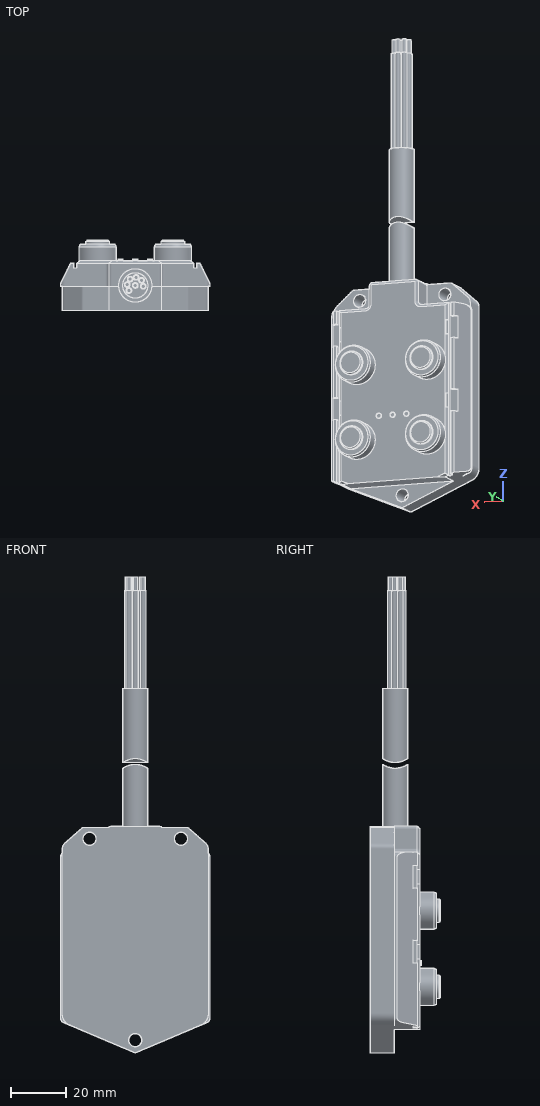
import cadquery as cq
import math


BASE_WIDTH = 52.7
BASE_THICKNESS = 8.8
BASE_TOP = 81.4
TOP_CUT_WIDTH = 7.4
TOP_CUT_HEIGHT = 6.5
TOP_CORNER_RADIUS = 1.2
SIDE_CORNER_RADIUS = 2.7
POINT_HEIGHT = 11.2
BOTTOM_CORNER_RADIUS = 4.5

HOLE_DIAMETER = 4.6
TOP_HOLE_SPACING = 33.0
TOP_HOLE_HEIGHT = 77.3
BOTTOM_HOLE_HEIGHT = 4.6

COVER_WIDTH = 54.0
COVER_BACK = 18.0
COVER_BOTTOM = 8.5
SHOULDER_HEIGHT = 72.5
SHOULDER_CORNER_RADIUS = 1.7
LIP_THICKNESS = 1.0
EDGE_CHAMFER = 1.0

PANEL_WIDTH = 42.2
GROOVE_WIDTH = 1.0
GROOVE_DEPTH = 2.5
RAIL_TOP_WIDTH = 1.2
RAIL_DROP = 0.9
WINDOW_HEIGHT = 8.0
WINDOW_CENTERS = (36.5, 63.5)
PANEL_NOTCH_HEIGHT = 5.2

BLOCK_WIDTH = 19.0
BLOCK_TOP = 82.0
BLOCK_RADIUS = 1.2
BLOCK_STEP = 0.2

CONNECTOR_SPACING = 27.1
CONNECTOR_HEIGHTS = (23.9, 51.4)
COLLAR_DIAMETER = 13.5
COLLAR_BACK = 24.0
COLLAR_CHAMFER_DEPTH = 1.0
COLLAR_CHAMFER_INSET = 0.5
PLUG_DIAMETER = 8.6
PLUG_BACK = 25.5
PLUG_CHAMFER = 0.5

LAMP_SPACING = 5.3
LAMP_DIAMETER = 1.9
LAMP_RISE = 0.5
LAMP_HEIGHT = 32.5

CABLE_DIAMETER = 9.1
CABLE_Y = 9.1
RECESS_DIAMETER = 12.0
RECESS_DEPTH = 0.5
BREAK_LOW = 102.7
BREAK_RISE = 1.5
BREAK_LOW_OFFSET = -0.9
BREAK_GAP = 2.0
JACKET_TOP = 131.5

WIRE_DIAMETER = 2.0
WIRE_RING_RADIUS = 3.0
WIRE_TOP = 166.8
CONDUCTOR_DIAMETER = 1.5
CONDUCTOR_TOP = 171.7
RING_WIRES = 6
RING_PITCH = 45
RING_START = -6

POINT_SLOPE = POINT_HEIGHT / (BASE_WIDTH / 2)


def xz_plane(y):
    return cq.Workplane("XZ", origin=(0, y, 0))


def cylinder_back(diameter, x, z, front, back):
    return xz_plane(front).center(x, z).circle(diameter / 2).extrude(front - back)


def cylinder_up(diameter, x, y, bottom, top):
    return cq.Workplane("XY", origin=(x, y, bottom)).circle(diameter / 2).extrude(top - bottom)


def block(x_min, x_max, y_min, y_max, z_min, z_max):
    size = (x_max - x_min, y_max - y_min, z_max - z_min)
    return cq.Workplane("XY").box(*size, centered=False).translate((x_min, y_min, z_min))


def edges_along_y(body, height):
    """Straight edges parallel to Y that lie at Z = height."""
    return body.edges("|Y").filter(lambda edge: abs(edge.Center().z - height) < 0.02)


def make_base():
    half = BASE_WIDTH / 2
    outline = [
        (0, 0),
        (half, POINT_HEIGHT),
        (half, BASE_TOP - TOP_CUT_HEIGHT),
        (half - TOP_CUT_WIDTH, BASE_TOP),
        (-half + TOP_CUT_WIDTH, BASE_TOP),
        (-half, BASE_TOP - TOP_CUT_HEIGHT),
        (-half, POINT_HEIGHT),
    ]
    base = xz_plane(0).polyline(outline).close().extrude(-BASE_THICKNESS)
    corners = (
        (BASE_TOP, TOP_CORNER_RADIUS),
        (BASE_TOP - TOP_CUT_HEIGHT, SIDE_CORNER_RADIUS),
        (POINT_HEIGHT, BOTTOM_CORNER_RADIUS),
    )
    for height, radius in corners:
        base = edges_along_y(base, height).fillet(radius)
    half_block = BLOCK_WIDTH / 2
    boss_top = BLOCK_TOP - BLOCK_STEP
    return base.union(block(-half_block, half_block, 0, BASE_THICKNESS, SHOULDER_HEIGHT, boss_top))


def cover_outline():
    """Cover seen along Y, as a prism with rounded corners."""
    half = COVER_WIDTH / 2
    half_block = BLOCK_WIDTH / 2
    bottom_half = COVER_BOTTOM / POINT_SLOPE
    side_bottom = half * POINT_SLOPE
    right_side = [
        (bottom_half, COVER_BOTTOM),
        (half, side_bottom),
        (half, SHOULDER_HEIGHT),
        (half_block, SHOULDER_HEIGHT),
        (half_block, BLOCK_TOP),
    ]
    left_side = [(-x, z) for x, z in reversed(right_side)]
    prism = xz_plane(BASE_THICKNESS).polyline(right_side + left_side).close()
    prism = prism.extrude(BASE_THICKNESS - COVER_BACK)
    prism = prism.edges("|Y").edges("<X or >X").fillet(SHOULDER_CORNER_RADIUS)
    block_corners = prism.edges("|Y").filter(lambda edge: abs(abs(edge.Center().x) - half_block) < 0.02)
    return block_corners.fillet(BLOCK_RADIUS)


def cover_section():
    """Cover seen along Z: lips, sloped sides, rails, grooves and raised panel."""
    half = COVER_WIDTH / 2
    half_panel = PANEL_WIDTH / 2
    rail_inside = half_panel + GROOVE_WIDTH
    rail_back = COVER_BACK - RAIL_DROP
    right_side = [
        (half, BASE_THICKNESS),
        (half, BASE_THICKNESS + LIP_THICKNESS),
        (rail_inside + RAIL_TOP_WIDTH, rail_back),
        (rail_inside, rail_back),
        (rail_inside, COVER_BACK - GROOVE_DEPTH),
        (half_panel, COVER_BACK - GROOVE_DEPTH),
        (half_panel, COVER_BACK),
    ]
    left_side = [(-x, y) for x, y in reversed(right_side)]
    return cq.Workplane("XY").polyline(right_side + left_side).close().extrude(BLOCK_TOP)


def make_cover():
    cover = cover_section().intersect(cover_outline())
    panel_edges = cover.faces(">Y").edges()
    cover = panel_edges.filter(lambda edge: edge.Center().z > COVER_BOTTOM + 0.2).chamfer(EDGE_CHAMFER)
    half_panel = PANEL_WIDTH / 2
    half_window = WINDOW_HEIGHT / 2
    half_notch = PANEL_NOTCH_HEIGHT / 2
    floor = COVER_BACK - GROOVE_DEPTH
    for z in WINDOW_CENTERS:
        for side in (-1, 1):
            near, far = sorted((side * half_panel, side * COVER_WIDTH / 2))
            cover = cover.cut(block(near, far, floor, COVER_BACK, z - half_window, z + half_window))
            near, far = sorted((side * (half_panel - EDGE_CHAMFER), side * half_panel))
            cover = cover.cut(
                block(near, far, COVER_BACK - EDGE_CHAMFER, COVER_BACK, z - half_notch, z + half_notch)
            )
    return cover


def make_connector(x, z):
    """Round collar with a bevelled rim and a smaller plug at its middle."""
    collar = cylinder_back(COLLAR_DIAMETER, x, z, BASE_THICKNESS, COLLAR_BACK)
    collar = collar.faces(">Y").chamfer(COLLAR_CHAMFER_DEPTH, COLLAR_CHAMFER_INSET)
    plug = cylinder_back(PLUG_DIAMETER, x, z, BASE_THICKNESS, PLUG_BACK)
    return collar.union(plug.faces(">Y").chamfer(PLUG_CHAMFER))


def break_cutter(low, top):
    """Prism along X whose lower face is the wavy break and whose upper face is at Z = top."""
    reach = CABLE_DIAMETER / 2 + 0.2
    high = low + BREAK_RISE
    wave = [(BREAK_LOW_OFFSET, low), (reach, high)]
    section = cq.Workplane("YZ", origin=(0, CABLE_Y, 0)).moveTo(-reach, high).spline(wave, includeCurrent=True)
    return section.lineTo(reach, top).lineTo(-reach, top).close().extrude(reach, both=True)


def make_housing():
    housing = make_base().union(make_cover())
    for side in (-1, 1):
        for z in CONNECTOR_HEIGHTS:
            housing = housing.union(make_connector(side * CONNECTOR_SPACING / 2, z))
    for step in (-1, 0, 1):
        x = step * LAMP_SPACING
        housing = housing.union(
            cylinder_back(LAMP_DIAMETER, x, LAMP_HEIGHT, BASE_THICKNESS, COVER_BACK + LAMP_RISE)
        )
    holes = [(side * TOP_HOLE_SPACING / 2, TOP_HOLE_HEIGHT) for side in (-1, 1)]
    holes.append((0, BOTTOM_HOLE_HEIGHT))
    for x, z in holes:
        housing = housing.cut(cylinder_back(HOLE_DIAMETER, x, z, 0, BASE_THICKNESS))
    recess_floor = BLOCK_TOP - RECESS_DEPTH
    housing = housing.cut(cylinder_up(RECESS_DIAMETER, 0, CABLE_Y, recess_floor, BLOCK_TOP))
    stub = cylinder_up(CABLE_DIAMETER, 0, CABLE_Y, SHOULDER_HEIGHT, JACKET_TOP)
    return housing.union(stub.cut(break_cutter(BREAK_LOW, JACKET_TOP + 1.7)))


def make_cable_end():
    jacket = cylinder_up(CABLE_DIAMETER, 0, CABLE_Y, BREAK_LOW, JACKET_TOP)
    cable_end = jacket.intersect(break_cutter(BREAK_LOW + BREAK_GAP, JACKET_TOP))
    centers = [(0, CABLE_Y)]
    for i in range(RING_WIRES):
        angle = math.radians(RING_START + i * RING_PITCH)
        centers.append(
            (WIRE_RING_RADIUS * math.cos(angle), CABLE_Y + WIRE_RING_RADIUS * math.sin(angle))
        )
    root = JACKET_TOP - WIRE_DIAMETER
    for x, y in centers:
        cable_end = cable_end.union(cylinder_up(WIRE_DIAMETER, x, y, root, WIRE_TOP))
        cable_end = cable_end.union(cylinder_up(CONDUCTOR_DIAMETER, x, y, root, CONDUCTOR_TOP))
    return cable_end


housing = make_housing()
cable_end = make_cable_end()

result = cq.Compound.makeCompound([housing.val(), cable_end.val()])